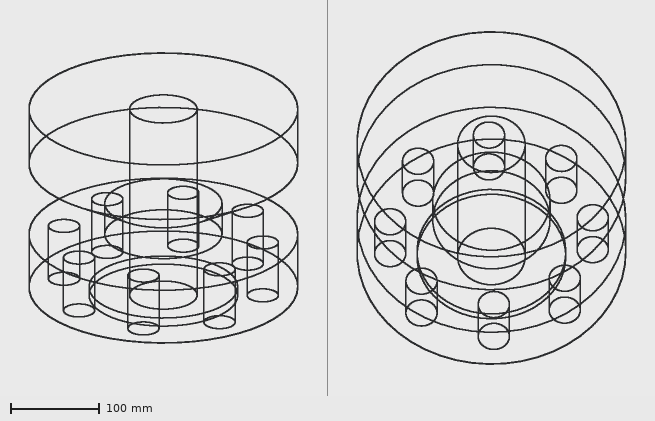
import cadquery as cq
import math

flange_diameter = 304.7
total_height = 232.0
bore_diameter = 76.5

raised_face_diameter = 168.5
raised_face_height = 10.0
lower_flange_thickness = 65.8

neck_diameter = 133.0
upper_flange_thickness = 68.0
cone_angle = 30.0

bolt_hole_count = 8
bolt_hole_diameter = 35.3
bolt_circle_diameter = 229.5

flange_radius = flange_diameter / 2
neck_radius = neck_diameter / 2
raised_face_radius = raised_face_diameter / 2
lower_flange_top = raised_face_height + lower_flange_thickness
cone_top = total_height - upper_flange_thickness
cone_height = (flange_radius - neck_radius) * math.tan(math.radians(cone_angle))
cone_bottom = cone_top - cone_height


def turned_body():
    """Solid of revolution holding both flanges, the neck and the cone."""
    return (
        cq.Workplane("XZ")
        .lineTo(raised_face_radius, 0)
        .lineTo(raised_face_radius, raised_face_height)
        .lineTo(flange_radius, raised_face_height)
        .lineTo(flange_radius, lower_flange_top)
        .lineTo(neck_radius, lower_flange_top)
        .lineTo(neck_radius, cone_bottom)
        .lineTo(flange_radius, cone_top)
        .lineTo(flange_radius, total_height)
        .lineTo(0, total_height)
        .close()
        .revolve(360, (0, 0, 0), (0, 1, 0))
    )


def bore():
    """Central passage through the whole height."""
    return cq.Workplane("XY").circle(bore_diameter / 2).extrude(total_height)


def bolt_holes():
    """Ring of cylinders that pass through the lower flange only."""
    return (
        cq.Workplane("XY")
        .workplane(offset=raised_face_height)
        .polarArray(bolt_circle_diameter / 2, 0, 360, bolt_hole_count)
        .circle(bolt_hole_diameter / 2)
        .extrude(lower_flange_thickness)
    )


result = turned_body().cut(bore()).cut(bolt_holes())